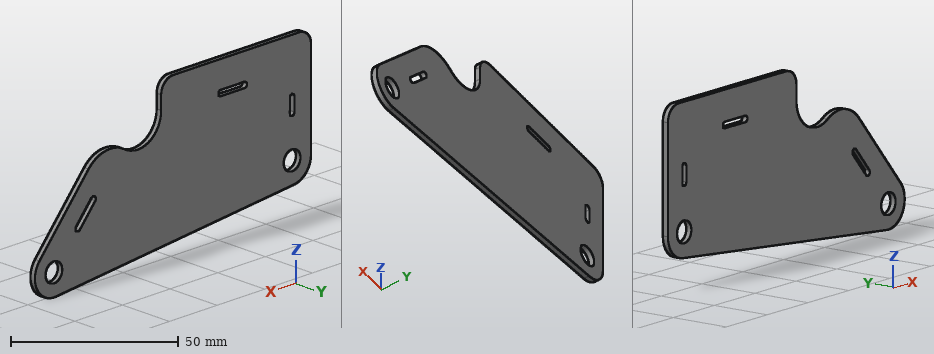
import cadquery as cq
import math

length = 116.0
height = 58.0
thickness = 2.0
shoulder_x = 63.0
corner_radius = 5.0

end_radius = 8.0
hole_diameter = 7.0
left_hole = (end_radius, 18.0)
right_hole = (length - end_radius, end_radius)

notch_radius = 10.0
notch_center = (shoulder_x + notch_radius, 48.0)
bump_radius = 12.0
bump_center_z = 29.3
center_distance = notch_radius + bump_radius
center_rise = notch_center[1] - bump_center_z
bump_center = (notch_center[0] + math.sqrt(center_distance**2 - center_rise**2), bump_center_z)

slot_width = 2.0
side_slot_length = 7.0
side_slot_center = (left_hole[0], 35.6)
top_slot_length = 12.0
top_slot_center = (32.9, 47.1)
slanted_slot_length = 12.0
slanted_slot_center = (94.6, 23.2)


def point_on_circle(center, radius, angle):
    """Point at an angle in degrees, counterclockwise from +X."""
    a = math.radians(angle)
    return (center[0] + radius * math.cos(a), center[1] + radius * math.sin(a))


def direction(start, end):
    """Angle in degrees of the line from start to end."""
    return math.degrees(math.atan2(end[1] - start[1], end[0] - start[0]))


bottom_normal = direction(left_hole, right_hole) - 90
bump_to_end = math.dist(bump_center, right_hole)
slant_normal = direction(bump_center, right_hole) + math.degrees(
    math.acos((bump_radius - end_radius) / bump_to_end)
)
notch_to_bump = direction(notch_center, bump_center)
bump_to_notch = notch_to_bump + 180


def arc(outline, center, radius, start_angle, end_angle):
    """Continue the outline along a circle to end_angle."""
    middle = point_on_circle(center, radius, (start_angle + end_angle) / 2)
    end = point_on_circle(center, radius, end_angle)
    return outline.threePointArc(middle, end)


def make_plate():
    """Outline drawn clockwise from the lower left, extruded through the thickness."""
    upper_left = (corner_radius, height - corner_radius)
    upper_right = (shoulder_x - corner_radius, height - corner_radius)

    outline = cq.Workplane("XZ").moveTo(0, left_hole[1])
    outline = outline.lineTo(0, height - corner_radius)
    outline = arc(outline, upper_left, corner_radius, 180, 90)
    outline = outline.lineTo(shoulder_x - corner_radius, height)
    outline = arc(outline, upper_right, corner_radius, 90, 0)
    outline = outline.lineTo(shoulder_x, notch_center[1])
    outline = arc(outline, notch_center, notch_radius, -180, notch_to_bump)
    outline = arc(outline, bump_center, bump_radius, bump_to_notch, slant_normal)
    outline = outline.lineTo(*point_on_circle(right_hole, end_radius, slant_normal))
    outline = arc(outline, right_hole, end_radius, slant_normal, bottom_normal)
    outline = outline.lineTo(*point_on_circle(left_hole, end_radius, bottom_normal))
    outline = arc(outline, left_hole, end_radius, bottom_normal, -180)
    return outline.close().extrude(thickness)


def make_slot(center, slot_length, angle):
    """Cutter for a round-ended slot through the plate."""
    return cq.Workplane("XZ").center(*center).slot2D(slot_length, slot_width, angle).extrude(thickness)


holes = cq.Workplane("XZ").pushPoints([left_hole, right_hole]).circle(hole_diameter / 2).extrude(thickness)

result = make_plate().cut(holes)
for center, slot_length, angle in (
    (side_slot_center, side_slot_length, 90),
    (top_slot_center, top_slot_length, 0),
    (slanted_slot_center, slanted_slot_length, slant_normal - 90),
):
    result = result.cut(make_slot(center, slot_length, angle))